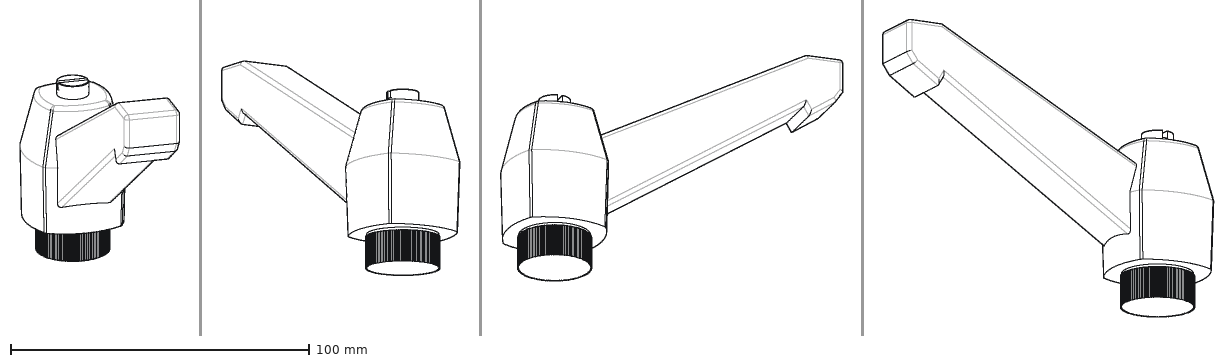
import cadquery as cq
import math


overall_length = 117.2

neck_bottom = 10.7
hub_bottom = 11.6
belt_height = 35.5
hub_top = 55.5
screw_top = 60.3

base_half_width = 16.9
base_corner = 13.6
belt_half_width = 17.2
belt_corner = 14.2
top_half_width = 12.4
top_corner = 10.2
corner_cut = 0.7
hub_top_fillet = 1.9

insert_diameter = 25.0
serration_count = 120
serration_depth = 0.4
insert_root_radius = insert_diameter / 2 - serration_depth

screw_diameter = 10.8
screw_edge_chamfer = 0.2
slot_width = 1.8
slot_depth = 2.6

arm_width = 19.2
arm_fillet = 1.4
arm_root_x = 5.9
arm_root_top = 42.5
arm_tip_x = overall_length - belt_half_width
arm_top = 85.0
arm_crest_x = 86.8
tip_lower_z = 73.5
tip_bevel_end = (97.4, 69.8)
hook_point = (87.9, 63.4)
notch_point = (86.0, 66.6)
underside_slope_angle = 32.8


def add_hub_section(work, half_width, corner):
    """Draw a square with four bulged sides and four small flat corners."""
    near = corner - corner_cut
    return (
        work.moveTo(corner, -near)
        .threePointArc((half_width, 0), (corner, near))
        .lineTo(near, corner)
        .threePointArc((0, half_width), (-near, corner))
        .lineTo(-corner, near)
        .threePointArc((-half_width, 0), (-corner, -near))
        .lineTo(-near, -corner)
        .threePointArc((0, -half_width), (near, -corner))
        .close()
    )


def make_hub():
    """Lower part widens slightly to the belt; upper part tapers to a rounded top."""
    lower = cq.Workplane("XY").workplane(offset=hub_bottom)
    lower = add_hub_section(lower, base_half_width, base_corner)
    lower = lower.workplane(offset=belt_height - hub_bottom)
    lower = add_hub_section(lower, belt_half_width, belt_corner).loft(ruled=True)

    upper = cq.Workplane("XY").workplane(offset=belt_height)
    upper = add_hub_section(upper, belt_half_width, belt_corner)
    upper = upper.workplane(offset=hub_top - belt_height)
    upper = add_hub_section(upper, top_half_width, top_corner).loft(ruled=True)
    upper = upper.faces(">Z").edges().fillet(hub_top_fillet)
    return lower.union(upper)


def make_arm():
    """Extruded outline with rounded long edges and a hooked tip."""
    root_drop = (notch_point[0] - arm_root_x) * math.tan(math.radians(underside_slope_angle))
    outline = [
        (arm_root_x, arm_root_top),
        (arm_crest_x, arm_top),
        (arm_tip_x, arm_top),
        (arm_tip_x, tip_lower_z),
        tip_bevel_end,
        hook_point,
        notch_point,
        (arm_root_x, notch_point[1] - root_drop),
    ]
    arm = cq.Workplane("XZ").polyline(outline).close().extrude(arm_width / 2, both=True)
    arm = arm.edges(">X and >Z and |Y").fillet(arm_fillet)
    return arm.faces("<Y or >Y").edges().fillet(arm_fillet)


def make_insert():
    """Serrated ring with triangular teeth, under a plain neck that enters the hub."""
    points = []
    for index in range(2 * serration_count):
        angle = math.pi * index / serration_count
        radius = insert_diameter / 2 if index % 2 == 0 else insert_root_radius
        points.append((radius * math.cos(angle), radius * math.sin(angle)))
    ring = cq.Workplane("XY").polyline(points).close().extrude(neck_bottom)
    neck = cq.Workplane("XY").workplane(offset=neck_bottom)
    neck = neck.circle(insert_root_radius).extrude(hub_bottom - neck_bottom)
    return ring.union(neck)


def make_screw_head():
    """Cylindrical head with a driver slot running along Y."""
    head = cq.Workplane("XY").workplane(offset=hub_top)
    head = head.circle(screw_diameter / 2).extrude(screw_top - hub_top)
    head = head.faces(">Z").edges().chamfer(screw_edge_chamfer)
    slot = cq.Workplane("XY").workplane(offset=screw_top - slot_depth)
    slot = slot.rect(slot_width, screw_diameter).extrude(slot_depth)
    return head.cut(slot)


result = make_hub().union(make_arm()).union(make_insert()).union(make_screw_head())